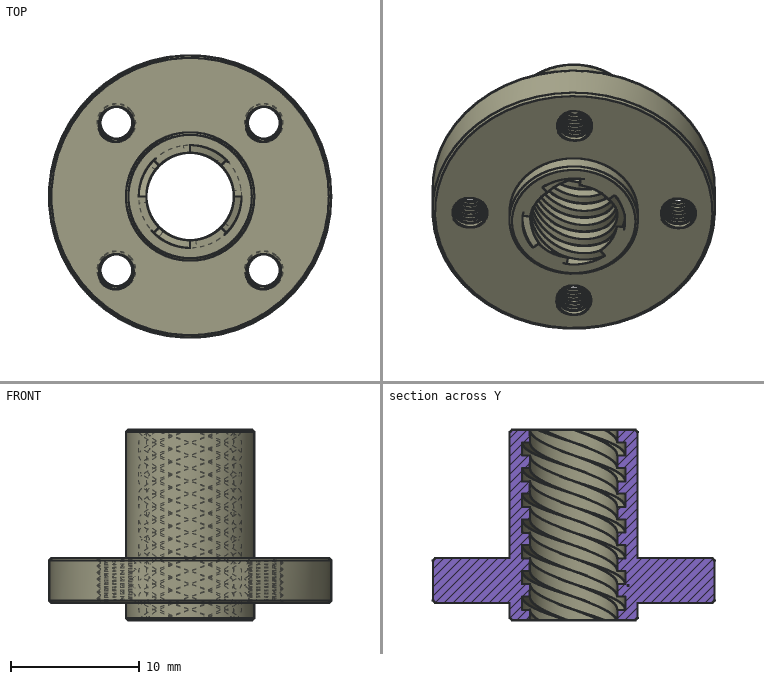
import cadquery as cq
import math

FLANGE_DIAMETER = 22.0
FLANGE_THICKNESS = 3.52
BODY_DIAMETER = 10.0
SPIGOT_LENGTH = 1.35
SLEEVE_LENGTH = 9.99
EDGE_CHAMFER = 0.2

BORE_DIAMETER = 6.8
THREAD_DIAMETER = 8.0
LEAD = 8.0
STARTS = 4
GROOVE_TOP_ANGLE = 45.0

TAP_CIRCLE_DIAMETER = 16.24
TAP_COUNT = 4
TAP_FIRST_ANGLE = 45.0
TAP_MINOR_DIAMETER = 2.5
TAP_MAJOR_DIAMETER = 3.01
TAP_PITCH = 0.5
TAP_CREST_FLAT = 0.09
TAP_ROOT_ANGLE = 270.0
SPIRAL_STEPS = 12

FLANGE_TOP = SPIGOT_LENGTH + FLANGE_THICKNESS
TOTAL_LENGTH = FLANGE_TOP + SLEEVE_LENGTH
THREAD_TWIST = 360.0 * TOTAL_LENGTH / LEAD

GROOVE_INNER_RADIUS = 0.9 * BORE_DIAMETER / 2
GROOVE_OUTER_RADIUS = 1.2 * THREAD_DIAMETER / 2


def cylinder(diameter, bottom, length):
    """Upright cylinder on the Z axis."""
    return cq.Workplane("XY").workplane(offset=bottom).circle(diameter / 2).extrude(length)


def chamfered_disc(diameter, bottom, length):
    """Upright cylinder with both rims chamfered."""
    return cylinder(diameter, bottom, length).edges("%CIRCLE").chamfer(EDGE_CHAMFER)


def polar(radius, angle):
    """Point at a radius and an angle in degrees."""
    return (radius * math.cos(math.radians(angle)), radius * math.sin(math.radians(angle)))


def bore_groove(start_angle):
    """One thread start: a sector twisted up the whole length, trimmed to the thread's outer cylinder."""
    end_angle = start_angle + 180.0 / STARTS
    sector = (
        cq.Workplane("XY")
        .moveTo(*polar(GROOVE_INNER_RADIUS, start_angle))
        .lineTo(*polar(GROOVE_OUTER_RADIUS, start_angle))
        .lineTo(*polar(GROOVE_OUTER_RADIUS, end_angle))
        .lineTo(*polar(GROOVE_INNER_RADIUS, end_angle))
        .close()
        .twistExtrude(TOTAL_LENGTH, THREAD_TWIST)
    )
    return sector.intersect(cylinder(THREAD_DIAMETER, 0, TOTAL_LENGTH))


def thread_section_side(side):
    """Half of the tap's cross-section: a spiral falling evenly from the root radius over half a turn."""
    major_radius = TAP_MAJOR_DIAMETER / 2
    depth = (TAP_MAJOR_DIAMETER - TAP_MINOR_DIAMETER) / 2
    full_depth = depth * TAP_PITCH / (TAP_PITCH - TAP_CREST_FLAT)
    points = []
    for step in range(SPIRAL_STEPS + 1):
        fraction = step / SPIRAL_STEPS
        x, y = polar(major_radius - full_depth * fraction, side * 180.0 * fraction)
        points.append(cq.Vector(x, y))
    return cq.Edge.makeSpline(points)


def tap_cutter():
    """Threaded plug on the Z axis, as long as the flange is thick."""
    section = cq.Wire.assembleEdges([thread_section_side(1), thread_section_side(-1)])
    twist = 360.0 * FLANGE_THICKNESS / TAP_PITCH
    thread = cq.Workplane("XY").add(section).toPending().twistExtrude(FLANGE_THICKNESS, twist)
    plug = thread.union(cylinder(TAP_MINOR_DIAMETER, 0, FLANGE_THICKNESS))
    plug = plug.rotate((0, 0, 0), (0, 0, 1), TAP_ROOT_ANGLE - twist)
    return plug.translate((0, 0, SPIGOT_LENGTH))


flange = chamfered_disc(FLANGE_DIAMETER, SPIGOT_LENGTH, FLANGE_THICKNESS)
flange = flange.cut(cylinder(BODY_DIAMETER, 0, TOTAL_LENGTH))
cutter = tap_cutter()
for hole in range(TAP_COUNT):
    x, y = polar(TAP_CIRCLE_DIAMETER / 2, TAP_FIRST_ANGLE + hole * 360.0 / TAP_COUNT)
    flange = flange.cut(cutter.translate((x, y, 0)))

body = chamfered_disc(BODY_DIAMETER, 0, TOTAL_LENGTH)
body = body.cut(cylinder(BORE_DIAMETER, 0, TOTAL_LENGTH))
for start in range(STARTS):
    angle_at_bottom = GROOVE_TOP_ANGLE - THREAD_TWIST + start * 360.0 / STARTS
    body = body.cut(bore_groove(angle_at_bottom))

result = flange.union(body)